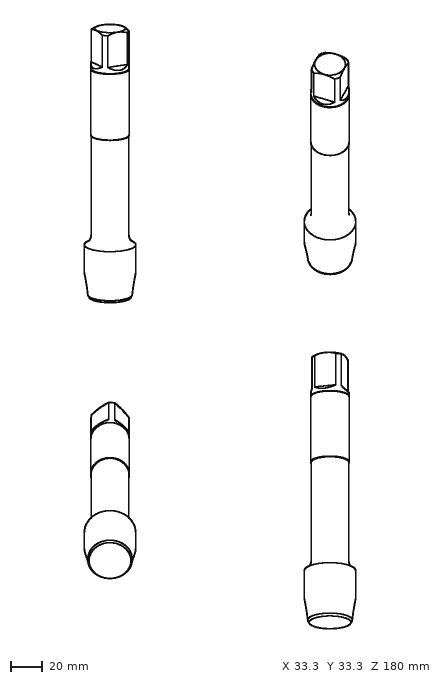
import cadquery as cq
import math

total_length = 180.0
tip_chamfer_height = 1.6
lead_height = 16.2
head_height = 35.1
flare_top = 41.5
collar_bottom = 108.4
collar_top = 153.2
flat_bottom = 157.3

head_radius = 33.3 / 2
tip_radius = 13.5
lead_end_radius = 14.4
lead_hollow = 0.2

neck_radius = 24.5 / 2
collar_radius = 25.0 / 2
drive_radius = 24.7 / 2
collar_chamfer = 0.4

square_side = 20.0
runout_angle = 45.0
crown_radius = 9.9
crown_angle = 30.0


def build_cutting_head():
    """Cylindrical head with a slightly hollow tapered lead and a tip chamfer."""
    lead_middle_radius = (lead_end_radius + head_radius) / 2 - lead_hollow
    lead_middle_height = (tip_chamfer_height + lead_height) / 2
    return (
        cq.Workplane("XZ")
        .lineTo(tip_radius, 0)
        .lineTo(lead_end_radius, tip_chamfer_height)
        .threePointArc((lead_middle_radius, lead_middle_height), (head_radius, lead_height))
        .lineTo(head_radius, head_height)
        .lineTo(0, head_height)
        .close()
        .revolve()
    )


def build_round_shank():
    """Neck flaring onto the head, collar, and round drive end with a conical crown."""
    flare_width = head_radius - neck_radius
    flare_height = flare_top - head_height
    flare_radius = (flare_width**2 + flare_height**2) / (2 * flare_width)
    flare_middle_angle = math.asin(flare_height / flare_radius) / 2
    flare_middle = (
        neck_radius + flare_radius * (1 - math.cos(flare_middle_angle)),
        flare_top - flare_radius * math.sin(flare_middle_angle),
    )
    crown_drop = (drive_radius - crown_radius) * math.tan(math.radians(crown_angle))
    return (
        cq.Workplane("XZ")
        .moveTo(0, head_height)
        .lineTo(head_radius, head_height)
        .threePointArc(flare_middle, (neck_radius, flare_top))
        .lineTo(neck_radius, collar_bottom)
        .lineTo(collar_radius, collar_bottom + collar_chamfer)
        .lineTo(collar_radius, collar_top - collar_chamfer)
        .lineTo(drive_radius, collar_top)
        .lineTo(drive_radius, total_length - crown_drop)
        .lineTo(crown_radius, total_length)
        .lineTo(0, total_length)
        .close()
        .revolve()
    )


def build_flat_cutter():
    """Prism that mills one drive flat, with a sloped runout at its lower end."""
    inner = square_side / 2
    outer = head_radius
    runout_drop = (outer - inner) * math.tan(math.radians(runout_angle))
    return (
        cq.Workplane("XZ")
        .moveTo(inner, total_length)
        .lineTo(inner, flat_bottom)
        .lineTo(outer, flat_bottom - runout_drop)
        .lineTo(outer, total_length)
        .close()
        .extrude(head_radius, both=True)
    )


def build_shank():
    """Shank with four flats milled around its drive end."""
    shank = build_round_shank()
    flat_cutter = build_flat_cutter()
    flat_count = 4
    for index in range(flat_count):
        turn = index * 360 / flat_count
        shank = shank.cut(flat_cutter.rotate((0, 0, 0), (0, 0, 1), turn))
    return shank


cutting_head = build_cutting_head()
shank = build_shank()

result = cq.Compound.makeCompound([cutting_head.val(), shank.val()])